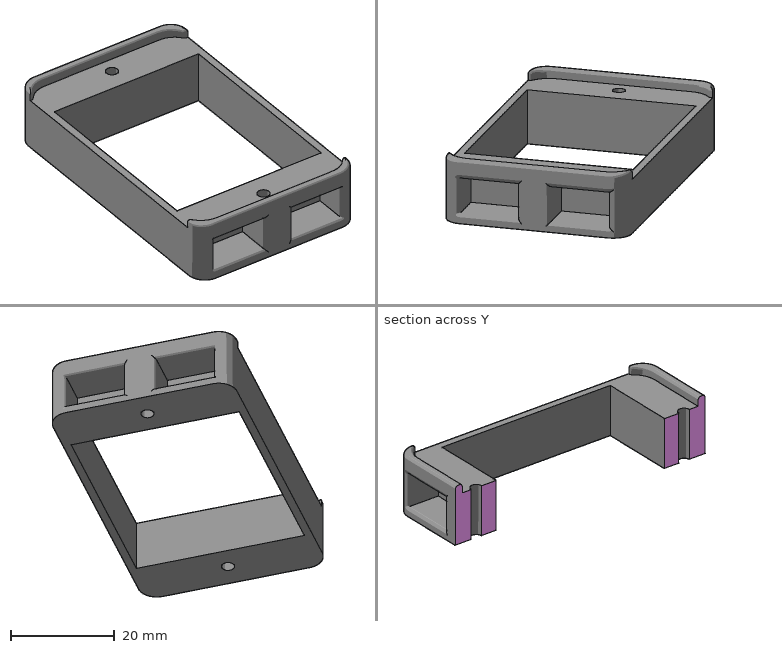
import cadquery as cq
import math

length = 61.0
width = 37.2
height = 13.0
corner_radius = 3.7

rail_height = 2.0
rail_thickness = 1.8
rail_edge_radius = 0.8
rail_inner_radius = 5.0
rail_sweep = math.radians(61)
rail_tip_radius = 0.85
blank_margin = 1.8
deck_height = height - rail_height

search_margin = 0.1

window_length = 41.0
window_width = 34.0
hole_diameter = 2.5
hole_spacing = 50.6

pocket_depth = 7.5
pocket_width = 11.65
pocket_bottom = 2.0
pocket_top = 9.0
pocket_mouth_radius = 1.0
pocket_height = pocket_top - pocket_bottom
pocket_overlap = 0.05
pocket_offset = width / 2 - corner_radius + pocket_overlap - pocket_width / 2


def rounded_block(block_height):
    block = cq.Workplane("XY").box(length, width, block_height, centered=(True, True, False))
    return block.edges("|Z").fillet(corner_radius)


def rail_blank(end):
    """Oversized stock for one rail, with its curved inner wall and rounded inner top edge."""
    inner_x = length / 2 - rail_thickness
    straight_y = width / 2 - rail_inner_radius
    center_x = inner_x - rail_inner_radius

    def arc_point(angle):
        return (
            center_x + rail_inner_radius * math.cos(angle),
            straight_y + rail_inner_radius * math.sin(angle),
        )

    def mirrored(point):
        return (point[0], -point[1])

    mid = arc_point(rail_sweep / 2)
    tip = arc_point(rail_sweep)
    side = (length / 2 - corner_radius, width / 2 + blank_margin)
    outer_x = length / 2 + blank_margin
    blank = (
        cq.Workplane("XY")
        .moveTo(outer_x, -side[1])
        .lineTo(outer_x, side[1])
        .lineTo(*side)
        .lineTo(*tip)
        .threePointArc(mid, (inner_x, straight_y))
        .lineTo(inner_x, -straight_y)
        .threePointArc(mirrored(mid), mirrored(tip))
        .lineTo(*mirrored(side))
        .close()
        .extrude(height)
    )
    tip_edges = cq.selectors.BoxSelector(
        (tip[0] - search_margin, -width, 0), (tip[0] + search_margin, width, height)
    )
    blank = blank.edges("|Z").edges(tip_edges).fillet(rail_tip_radius)
    blank = blank.faces(">Z").edges("<X").fillet(rail_edge_radius)
    return blank if end > 0 else blank.mirror("YZ")


def add_pockets(body):
    """Cut two blind pockets into each end and round their mouths."""
    for end in (-1, 1):
        for side in (-1, 1):
            pocket = cq.Workplane("XY").box(2 * pocket_depth, pocket_width, pocket_height)
            center_x = end * length / 2
            center_y = side * pocket_offset
            body = body.cut(pocket.translate((center_x, center_y, (pocket_bottom + pocket_top) / 2)))
            reach_y = pocket_width / 2 + search_margin
            mouth = cq.selectors.BoxSelector(
                (center_x - search_margin, center_y - reach_y, pocket_bottom - search_margin),
                (center_x + search_margin, center_y + reach_y, pocket_top + search_margin),
            )
            body = body.edges(mouth).fillet(pocket_mouth_radius)
    return body


body = add_pockets(rounded_block(height))
body = body.faces(">Z").edges().fillet(rail_edge_radius)
deck = cq.Workplane("XY").box(length, width, deck_height, centered=(True, True, False))
envelope = deck.union(rail_blank(1)).union(rail_blank(-1))
body = body.intersect(envelope)
window = cq.Workplane("XY").rect(window_length, window_width).extrude(height)
holes = (
    cq.Workplane("XY")
    .pushPoints([(-hole_spacing / 2, 0), (hole_spacing / 2, 0)])
    .circle(hole_diameter / 2)
    .extrude(height)
)
result = body.cut(window).cut(holes)